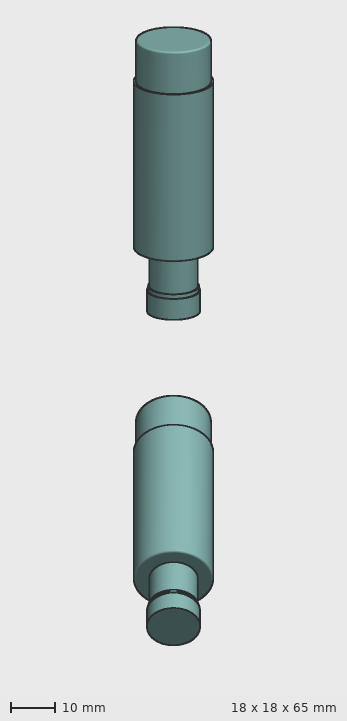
import cadquery as cq

FOOT_DIAMETER = 12.0
COLLAR_DIAMETER = 11.5
NECK_DIAMETER = 11.0
BODY_DIAMETER = 18.0
CAP_DIAMETER = 17.0

FOOT_HEIGHT = 5.0
COLLAR_HEIGHT = 1.0
NECK_HEIGHT = 9.0
BODY_HEIGHT = 40.0
CAP_HEIGHT = 10.0

BODY_BOTTOM_RADIUS = 0.5
CAP_TOP_RADIUS = 0.5

COLLAR_BOTTOM = FOOT_HEIGHT
NECK_BOTTOM = COLLAR_BOTTOM + COLLAR_HEIGHT
BODY_BOTTOM = NECK_BOTTOM + NECK_HEIGHT
CAP_BOTTOM = BODY_BOTTOM + BODY_HEIGHT


def cylinder(diameter, height, bottom):
    """Upright cylinder on the Z axis, standing on the level `bottom`."""
    return cq.Workplane("XY").workplane(offset=bottom).circle(diameter / 2).extrude(height)


def make_stem():
    """Foot, thin collar and neck, each a small step narrower than the one below."""
    foot = cylinder(FOOT_DIAMETER, FOOT_HEIGHT, 0)
    collar = cylinder(COLLAR_DIAMETER, COLLAR_HEIGHT, COLLAR_BOTTOM)
    neck = cylinder(NECK_DIAMETER, NECK_HEIGHT, NECK_BOTTOM)
    return foot.union(collar).union(neck)


def make_body():
    """Main barrel with a rounded lower edge."""
    barrel = cylinder(BODY_DIAMETER, BODY_HEIGHT, BODY_BOTTOM)
    return barrel.faces("<Z").edges().fillet(BODY_BOTTOM_RADIUS)


def make_cap():
    """Slightly narrower end cap with a rounded top edge."""
    cap = cylinder(CAP_DIAMETER, CAP_HEIGHT, CAP_BOTTOM)
    return cap.faces(">Z").edges().fillet(CAP_TOP_RADIUS)


result = make_stem().union(make_body()).union(make_cap())